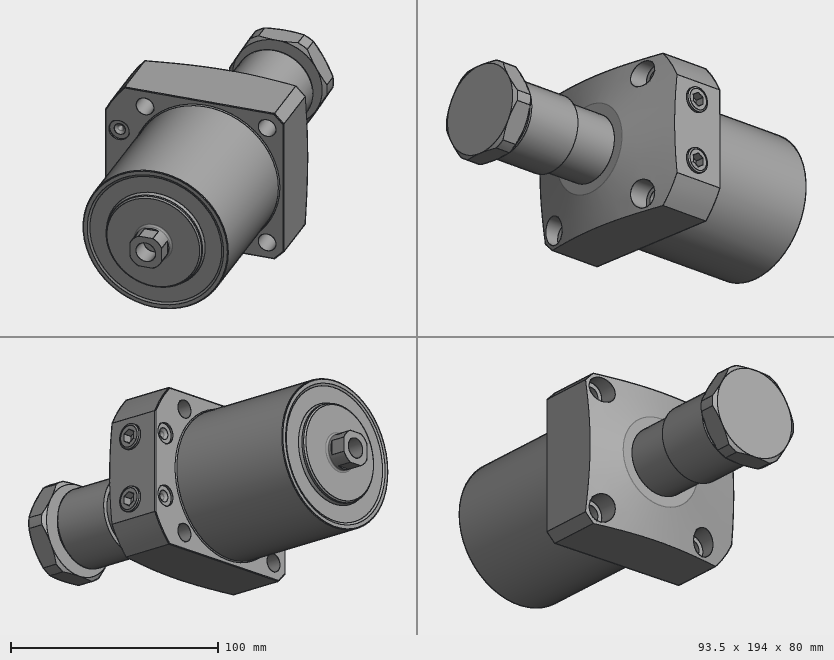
import cadquery as cq
import math


flange_half_height = 40.0
flange_right = 40.0
flange_left = 52.0
flange_arc_radius = 58.0
flange_thickness = 38.0
flange_corner_chamfer = 4.8
flange_edge_chamfer = 0.4
crown_radius = 23.0
crown_angle = 15.0

barrel_radius = 37.5
barrel_length = 70.5
barrel_edge_chamfer = 0.4
barrel_foot_chamfer = 0.5

mount_hole_offset = 31.5
mount_hole_diameter = 9.1
counterbore_diameter = 14.0
counterbore_floor = 23.3

cap_seat_radius = 34.0
cap_seat_depth = 3.9
cap_recess = 0.5
cap_mouth_chamfer = 1.2
boss_radius = 24.6
boss_height = 3.0
boss_foot_radius = 25.5
boss_foot_height = 1.0
boss_edge_chamfer = 0.8
stub_radius = 9.0
stub_length = 10.5
stub_root_fillet = 1.0
stub_flats = 16.3
stub_flat_length = 8.0
stub_bore_diameter = 10.0

rod_radius = 17.7
rod_length = 26.2
collar_radius = 20.0
collar_length = 31.0
collar_edge_chamfer = 0.5

neck_radius = 14.2
neck_rim_radius = 15.3
neck_rim_width = 0.8
neck_straight = 1.4
neck_length = 3.9
nut_flats = 46.2
nut_corner_radius = 25.2
nut_chamfer_angle = 30.0

plug_spacing = 31.8
side_plug_y = 16.1
side_plug_radius = 6.4
side_plug_proud = 1.5
side_plug_depth = 7.8
side_plug_chamfer_radial = 1.0
side_plug_chamfer_axial = 0.4
side_socket_flats = 6.2
side_socket_depth = 4.8

face_plug_x = -44.8
face_plug_radius = 5.2
face_plug_recess = 1.2
face_plug_depth = 7.8
face_socket_radius = 3.0
face_pilot_radius = 1.5
face_socket_depth = 1.4
face_pilot_depth = 2.3

overall_length = 194.0
barrel_end = -barrel_length
boss_end = barrel_end - boss_height
stub_end = boss_end - stub_length
collar_start = flange_thickness + rod_length
collar_end = collar_start + collar_length
nut_start = collar_end + neck_length
nut_end = stub_end + overall_length

plug_heights = [-plug_spacing / 2, plug_spacing / 2]


def revolve_about_y(points):
    """Turn a closed outline of (radius, y) points into a solid of revolution about the Y axis."""
    return cq.Workplane("XY").polyline(points).close().revolve(360, (0, 0, 0), (0, 1, 0))


def cylinder_y(radius, start, end, x=0.0, z=0.0):
    """Cylinder parallel to Y between two Y positions."""
    axis = cq.Vector(0, 1, 0)
    return cq.Workplane(cq.Solid.makeCylinder(radius, end - start, cq.Vector(x, start, z), axis))


def cylinder_x(radius, start, end, y, z):
    """Cylinder parallel to X between two X positions."""
    axis = cq.Vector(1, 0, 0)
    return cq.Workplane(cq.Solid.makeCylinder(radius, end - start, cq.Vector(start, y, z), axis))


def make_flange():
    arc_top_x = -math.sqrt(flange_arc_radius**2 - flange_half_height**2)
    arc_side_z = math.sqrt(flange_arc_radius**2 - flange_left**2)
    arc_mid_angle = (math.atan2(flange_half_height, arc_top_x) + math.atan2(arc_side_z, -flange_left)) / 2
    arc_mid_x = flange_arc_radius * math.cos(arc_mid_angle)
    arc_mid_z = flange_arc_radius * math.sin(arc_mid_angle)
    corner_z = flange_half_height - flange_corner_chamfer
    corner_x = flange_right - flange_corner_chamfer

    flange = (
        cq.Workplane("XZ")
        .moveTo(arc_top_x, flange_half_height)
        .lineTo(corner_x, flange_half_height)
        .lineTo(flange_right, corner_z)
        .lineTo(flange_right, -corner_z)
        .lineTo(corner_x, -flange_half_height)
        .lineTo(arc_top_x, -flange_half_height)
        .threePointArc((arc_mid_x, -arc_mid_z), (-flange_left, -arc_side_z))
        .lineTo(-flange_left, arc_side_z)
        .threePointArc((arc_mid_x, arc_mid_z), (arc_top_x, flange_half_height))
        .close()
        .extrude(-flange_thickness)
    )
    flange = flange.faces("<Y").chamfer(flange_edge_chamfer)

    cone_radius = 2 * flange_arc_radius
    drop = (cone_radius - crown_radius) * math.tan(math.radians(crown_angle))
    crown = revolve_about_y([
        (0, 0),
        (cone_radius, 0),
        (cone_radius, flange_thickness - drop),
        (crown_radius, flange_thickness),
        (0, flange_thickness),
    ])
    return flange.intersect(crown)


def make_housing():
    barrel = revolve_about_y([
        (0, barrel_end),
        (barrel_radius - barrel_edge_chamfer, barrel_end),
        (barrel_radius, barrel_end + barrel_edge_chamfer),
        (barrel_radius, -barrel_foot_chamfer),
        (barrel_radius + barrel_foot_chamfer, 0),
        (0, 0),
    ])
    housing = make_flange().union(barrel)
    cap_seat = revolve_about_y([
        (0, barrel_end),
        (cap_seat_radius + cap_mouth_chamfer, barrel_end),
        (cap_seat_radius, barrel_end + cap_recess),
        (cap_seat_radius, barrel_end + cap_seat_depth),
        (0, barrel_end + cap_seat_depth),
    ])
    housing = housing.cut(cap_seat)

    for x in (-mount_hole_offset, mount_hole_offset):
        for z in (-mount_hole_offset, mount_hole_offset):
            housing = housing.cut(cylinder_y(mount_hole_diameter / 2, 0, flange_thickness, x, z))
            counterbore = cylinder_y(counterbore_diameter / 2, counterbore_floor, flange_thickness, x, z)
            housing = housing.cut(counterbore)

    for z in plug_heights:
        side_seat = cylinder_x(side_plug_radius, -flange_left, side_plug_depth - flange_left, side_plug_y, z)
        face_seat = cylinder_y(face_plug_radius, 0, face_plug_depth, face_plug_x, z)
        housing = housing.cut(side_seat).cut(face_seat)
    return housing


def make_end_cap():
    cap = revolve_about_y([
        (0, barrel_end + cap_seat_depth),
        (cap_seat_radius, barrel_end + cap_seat_depth),
        (cap_seat_radius, barrel_end + cap_recess),
        (boss_foot_radius, barrel_end + cap_recess),
        (boss_radius, barrel_end - boss_foot_height),
        (boss_radius, boss_end + boss_edge_chamfer),
        (boss_radius - boss_edge_chamfer, boss_end),
        (0, boss_end),
    ])
    root_y = boss_end - stub_root_fillet
    fillet_bulge = stub_root_fillet * (1 - math.sqrt(0.5))
    stub = (
        cq.Workplane("XY")
        .moveTo(0, boss_end)
        .lineTo(stub_radius + stub_root_fillet, boss_end)
        .threePointArc((stub_radius + fillet_bulge, boss_end - fillet_bulge), (stub_radius, root_y))
        .lineTo(stub_radius, stub_end)
        .lineTo(0, stub_end)
        .close()
        .revolve(360, (0, 0, 0), (0, 1, 0))
    )
    square = cq.Workplane("XZ", origin=(0, stub_end, 0)).rect(stub_flats, stub_flats).extrude(-stub_flat_length)
    flats = cylinder_y(2 * stub_radius, stub_end, stub_end + stub_flat_length).cut(square)
    stub_bore = cylinder_y(stub_bore_diameter / 2, stub_end, boss_end)
    return cap.union(stub.cut(flats)).cut(stub_bore)


def make_rod():
    rod = cylinder_y(rod_radius, flange_thickness, collar_start)
    collar = cylinder_y(collar_radius, collar_start, collar_end).faces(">Y").chamfer(collar_edge_chamfer)
    return rod.union(collar)


def make_nut():
    thickness = nut_end - nut_start
    across_corners = nut_flats / math.cos(math.pi / 6)
    hexagon = (
        cq.Workplane("XZ", origin=(0, nut_start, 0))
        .polygon(6, across_corners)
        .extrude(-thickness)
    )
    flat_radius = nut_flats / 2
    slope = (nut_corner_radius - flat_radius) * math.tan(math.radians(nut_chamfer_angle))
    turned = revolve_about_y([
        (0, nut_start),
        (flat_radius, nut_start),
        (nut_corner_radius, nut_start + slope),
        (nut_corner_radius, nut_end - slope),
        (flat_radius, nut_end),
        (0, nut_end),
    ])
    neck = revolve_about_y([
        (0, collar_end),
        (neck_radius, collar_end),
        (neck_radius, collar_end + neck_straight),
        (neck_rim_radius, nut_start - neck_rim_width),
        (neck_rim_radius, nut_start),
        (0, nut_start),
    ])
    return hexagon.intersect(turned).union(neck)


def make_side_plug(z):
    """Plug screwed into the left side of the flange, standing slightly proud, with a hex socket."""
    head_x = -flange_left - side_plug_proud
    plug = cylinder_x(side_plug_radius, head_x, side_plug_depth - flange_left, side_plug_y, z)
    plug = plug.faces("<X").chamfer(side_plug_chamfer_axial, side_plug_chamfer_radial)
    socket = (
        cq.Workplane("YZ", origin=(head_x, side_plug_y, z))
        .transformed(rotate=(0, 0, 90))
        .polygon(6, side_socket_flats / math.cos(math.pi / 6))
        .extrude(side_socket_depth)
    )
    return plug.cut(socket)


def make_face_plug(z):
    """Plug sunk into the mounting face of the flange, with a countersunk centre hole."""
    socket_end = face_plug_recess + face_socket_depth
    centre_hole = revolve_about_y([
        (0, face_plug_recess),
        (face_socket_radius, face_plug_recess),
        (face_pilot_radius, socket_end),
        (0, socket_end + face_pilot_depth),
    ])
    plug = cylinder_y(face_plug_radius, face_plug_recess, face_plug_depth).cut(centre_hole)
    return plug.translate((face_plug_x, 0, z))


housing = make_housing()
end_cap = make_end_cap()
rod = make_rod()
nut = make_nut()
side_plugs = [make_side_plug(z).val() for z in plug_heights]
face_plugs = [make_face_plug(z).val() for z in plug_heights]

result = cq.Compound.makeCompound(
    [housing.val(), end_cap.val(), rod.val(), nut.val(), *side_plugs, *face_plugs]
)